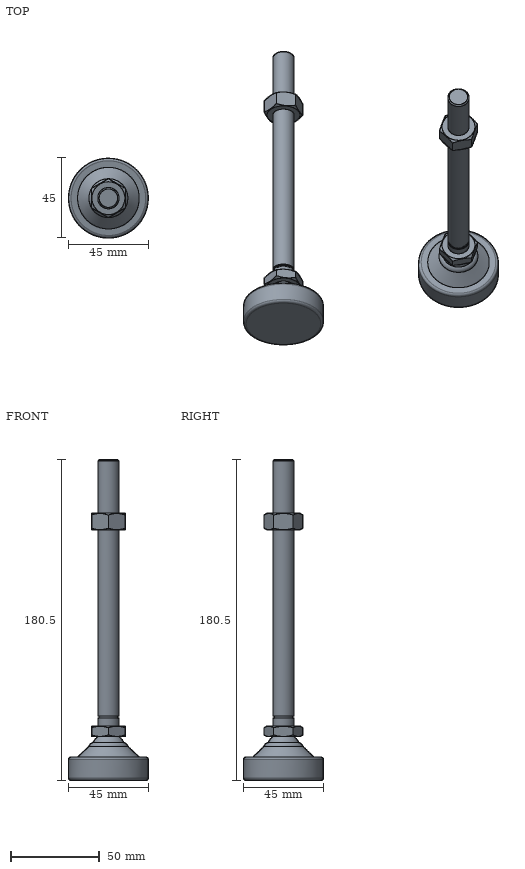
import cadquery as cq
import math

pad_diameter = 45.0
pad_height = 13.3
pad_edge_radius = 1.5

ball_radius = 9.7
ball_centre_height = 17.2

plate_floor = 5.0
plate_rim_radius = 18.5
cone_foot = 12.2
cone_top = 19.3
lip_radius = 10.95
lip_round_radius = 3.0
lip_top = 21.4
mouth_radius = math.sqrt(ball_radius**2 - (lip_top - ball_centre_height) ** 2)

total_height = 180.5
rod_diameter = 12.0
rod_radius = rod_diameter / 2
rod_end_chamfer = 0.8
stud_hex_bottom = 24.7
stud_hex_height = 6.0
stud_hex_top = stud_hex_bottom + stud_hex_height
groove_bottom = 35.2
groove_width = 1.1
groove_radius = 5.3

nut_bottom = 141.0
nut_height = 9.4

hex_across_flats = 19.0
hex_across_corners = hex_across_flats / math.cos(math.pi / 6)
hex_face_diameter = 18.5
hex_chamfer_angle = math.radians(30)


def cylinder(radius, bottom, height):
    return cq.Workplane("XY").workplane(offset=bottom).circle(radius).extrude(height)


def ball():
    """The ball, which also shapes its socket."""
    return cq.Workplane("XY").sphere(ball_radius).translate((0, 0, ball_centre_height))


def chamfered_hex(bottom, height):
    """Hexagonal prism whose corners are turned off by a cone at each end."""
    corner_radius = hex_across_corners / 2
    face_radius = hex_face_diameter / 2
    drop = (corner_radius - face_radius) * math.tan(hex_chamfer_angle)
    prism = (
        cq.Workplane("XY")
        .workplane(offset=bottom)
        .transformed(rotate=(0, 0, 90))
        .polygon(6, hex_across_corners)
        .extrude(height)
    )
    turned_envelope = (
        cq.Workplane("XZ")
        .moveTo(0, bottom)
        .lineTo(face_radius, bottom)
        .lineTo(corner_radius, bottom + drop)
        .lineTo(corner_radius, bottom + height - drop)
        .lineTo(face_radius, bottom + height)
        .lineTo(0, bottom + height)
        .close()
        .revolve()
    )
    return prism.intersect(turned_envelope)


def plate_blank():
    """Socket plate before the ball socket is cut."""
    return (
        cq.Workplane("XZ")
        .moveTo(0, plate_floor)
        .lineTo(plate_rim_radius, plate_floor)
        .lineTo(plate_rim_radius, cone_foot)
        .lineTo(lip_radius, cone_top)
        .radiusArc((mouth_radius, lip_top), -lip_round_radius)
        .lineTo(0, lip_top)
        .close()
        .revolve()
    )


def make_pad():
    pad = cylinder(pad_diameter / 2, 0, pad_height)
    pad = pad.faces("<Z or >Z").edges().fillet(pad_edge_radius)
    return pad.cut(plate_blank())


def make_plate():
    return plate_blank().cut(ball())


def make_stud():
    rod = cylinder(rod_radius, stud_hex_top, total_height - stud_hex_top)
    rod = rod.faces(">Z").edges().chamfer(rod_end_chamfer)
    groove = cylinder(rod_radius, groove_bottom, groove_width).cut(
        cylinder(groove_radius, groove_bottom, groove_width)
    )
    stud_hex = chamfered_hex(stud_hex_bottom, stud_hex_height)
    return rod.cut(groove).union(stud_hex).union(ball())


def make_nut():
    bore = cylinder(rod_radius, nut_bottom, nut_height)
    return chamfered_hex(nut_bottom, nut_height).cut(bore)


pad = make_pad()
plate = make_plate()
stud = make_stud()
nut = make_nut()

result = cq.Compound.makeCompound([pad.val(), plate.val(), stud.val(), nut.val()])